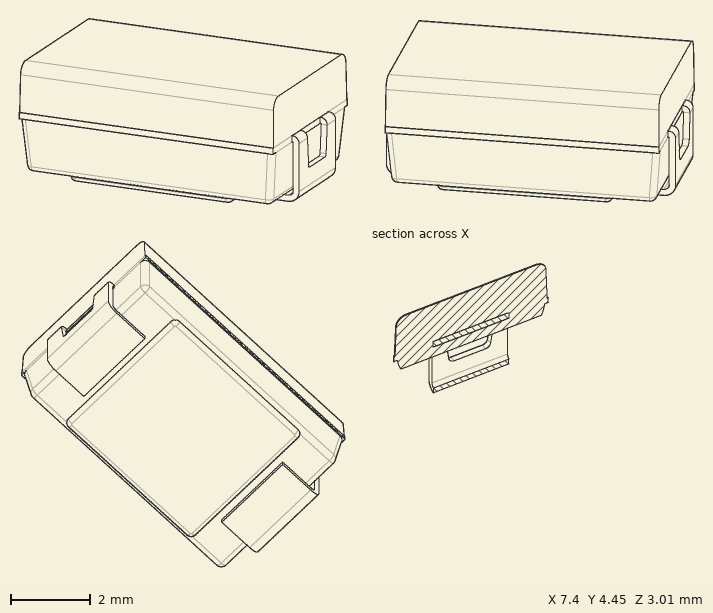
import cadquery as cq
import math


overall_length = 7.4
overall_height = 3.01
flange_width = 4.45
case_length = 7.0

lead_thickness = 0.165
lead_width = 2.18
foot_length = 1.28
upper_bend_radius = 0.18
lower_bend_radius = 0.3

window_bottom = 0.76
left_window_top_width = 1.4
left_window_bottom_width = 1.16
left_window_radius = 0.15
right_window_top_width = 1.18
right_window_bottom_width = 1.03
right_window_radius = 0.075

flange_top = 1.74
flange_thickness = lead_thickness
flange_bottom = flange_top - flange_thickness
flange_overhang = 0.025
case_width = flange_width - 2 * flange_overhang

upper_side_draft = 2.0
upper_end_draft = 0.5
top_edge_radius = 0.3
lower_draft = 5.0
case_bottom = lead_thickness
lower_edge_radius = 0.16

pad_length = 4.46
pad_width = 3.97
pad_bottom = 0.03
pad_corner_radius = 0.15
pad_edge_radius = 0.12


def make_upper_case():
    """Upper half: walls drafted inwards, only slightly at the ends, with rounded long top edges."""
    height = overall_height - flange_top
    side_inset = height * math.tan(math.radians(upper_side_draft))
    end_inset = height * math.tan(math.radians(upper_end_draft))
    return (
        cq.Workplane("XY", origin=(0, 0, flange_top))
        .rect(case_length, case_width)
        .workplane(offset=height)
        .rect(case_length - 2 * end_inset, case_width - 2 * side_inset)
        .loft(ruled=True)
        .faces(">Z")
        .edges("|X")
        .fillet(top_edge_radius)
    )


def make_flange():
    """Thin band at the parting line, a little wider than the case."""
    return (
        cq.Workplane("XY", origin=(0, 0, flange_bottom))
        .rect(case_length, flange_width)
        .extrude(flange_thickness)
    )


def make_lower_case():
    """Lower half: all four walls drafted inwards, with rounded corners and bottom edge."""
    return (
        cq.Workplane("XY", origin=(0, 0, flange_bottom))
        .rect(case_length, case_width)
        .extrude(case_bottom - flange_bottom, taper=lower_draft)
        .edges("not #Z")
        .fillet(lower_edge_radius)
        .faces("<Z")
        .edges()
        .fillet(lower_edge_radius)
    )


def make_pad():
    """Standoff pad with rounded corners and a rounded bottom edge."""
    return (
        cq.Workplane("XY", origin=(0, 0, pad_bottom))
        .rect(pad_length, pad_width)
        .extrude(case_bottom - pad_bottom)
        .edges("|Z")
        .fillet(pad_corner_radius)
        .faces("<Z")
        .edges()
        .fillet(pad_edge_radius)
    )


def make_loop(inset):
    """Block with the closed XZ outline of the lead frame, moved inwards by inset."""
    height = flange_top - 2 * inset
    return (
        cq.Workplane("XY", origin=(0, 0, inset))
        .box(overall_length - 2 * inset, lead_width, height, centered=(True, True, False))
        .edges("|Y and >Z")
        .fillet(upper_bend_radius - inset)
        .edges("|Y and <Z")
        .fillet(lower_bend_radius - inset)
    )


def make_window(end_x, top_width, bottom_width, corner_radius):
    """Cutter from the case end to end_x: straight beside the upper bend, tapered below it."""
    bend_start = flange_top - upper_bend_radius
    case_end = math.copysign(case_length / 2, end_x)
    half_top = top_width / 2
    half_bottom = bottom_width / 2
    return (
        cq.Workplane("YZ", origin=(case_end, 0, 0))
        .polyline([
            (-half_bottom, window_bottom),
            (half_bottom, window_bottom),
            (half_top, bend_start),
            (half_top, flange_top),
            (-half_top, flange_top),
            (-half_top, bend_start),
        ])
        .close()
        .extrude(end_x - case_end)
        .edges("|X and <Z")
        .fillet(corner_radius)
    )


def make_lead_frame():
    """One bent strip running through the case at the flange, with a pronged lead at each end."""
    half_length = overall_length / 2
    foot_gap = overall_length - 2 * foot_length
    gap_between_feet = cq.Workplane("XY").box(foot_gap, lead_width, 2 * lead_thickness)
    left_window = make_window(
        -half_length, left_window_top_width, left_window_bottom_width, left_window_radius
    )
    right_window = make_window(
        half_length, right_window_top_width, right_window_bottom_width, right_window_radius
    )
    strip = make_loop(0).cut(make_loop(lead_thickness)).cut(gap_between_feet)
    return strip.cut(left_window).cut(right_window)


lead_frame = make_lead_frame()

case = make_upper_case().union(make_flange()).union(make_lower_case()).union(make_pad()).cut(lead_frame)

result = cq.Compound.makeCompound([case.val(), lead_frame.val()])